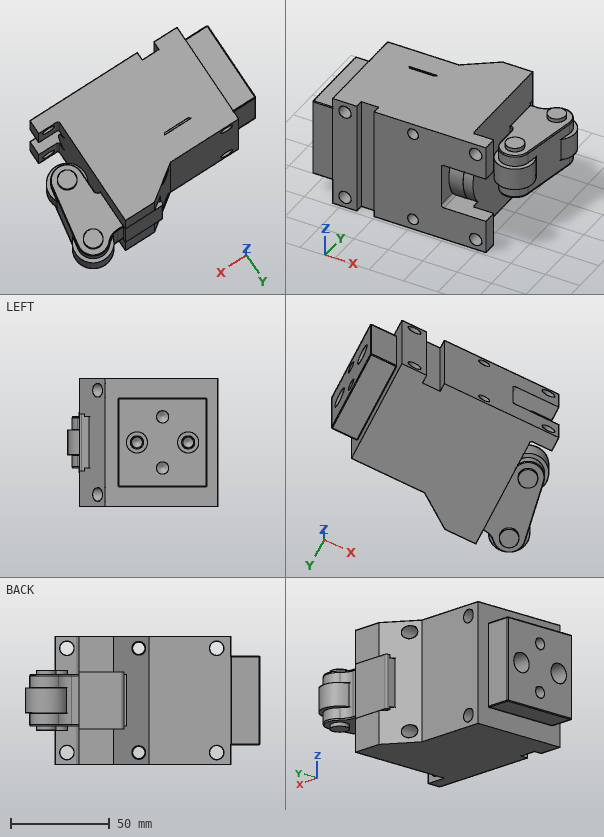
import cadquery as cq
import math


block_length = 14.9
block_width = 45.0
block_bottom = 5.5
block_chamfer = 0.5
port_axis_y = block_bottom + block_width / 2
port_spacing = 25.9
port_radius = 5.4
pilot_radius = 3.1
pilot_depth = 9.5
drill_half_angle = 59

bore_mouth_radius = 3.3
bore_radius = 2.7
bore_countersink = 0.6
bore_depth = 10.7

housing_start = block_length
housing_width = 65.0
housing_low_height = 57.1
housing_height = 70.1
housing_wall = 91.8
slope_start = housing_start + 41.4
slope_end = housing_start + 59.4
base_end = 103.9
base_thickness = 8.1
base_fillet = 1.1
groove_start = housing_start + 14.0
groove_width = 10.0
groove_depth = 4.6

mount_radius = 3.6
mount_offset_z = 26.4
front_mount_x = 22.0
middle_mount_x = 61.5
rear_mount_x = 97.9
middle_mount_radius = 3.1
middle_counterbore_radius = 3.5
middle_counterbore_bottom = 14.3

notch_start = 77.9
notch_half_width = 13.1
notch_fillet = 1.5
notch_floor_radius = 20.0
notch_step_x = 86.1
notch_step_height = 0.1

slit_start = 34.9
slit_y = 43.5
slit_length = 16.2
slit_width = 1.0
slit_depth = 0.2

lever_half_width = 13.1
lever_end_radius = 8.5
lever_chamfer_width = 0.4
lever_chamfer_depth = 0.8
lever_top = 68.2
lever_bottom = 46.6
top_blend_radius = 8.9
tongue_start = 68.9
slot_start = 67.7
cap_half_width = 14.5
cap_bottom = 67.5
cap_fillet = 1.1

roller_radius = 10.6
roller_half_width = 6.3
roller_clearance = 0.2
pin_radius = 5.0
pin_half_length = 15.2
upper_roller = (108.4, 65.4)
lower_roller = (102.5, 32.5)


def box(x_range, y_range, half_width):
    """Box between two X and two Y values, centred on Z = 0."""
    (x0, x1), (y0, y1) = x_range, y_range
    outline = cq.Workplane("XY").moveTo(x0, y0).lineTo(x1, y0).lineTo(x1, y1).lineTo(x0, y1).close()
    return outline.extrude(half_width, both=True)


def cross_cylinder(center, radius, half_length):
    """Cylinder along Z, centred on Z = 0."""
    start = (center[0], center[1], -half_length)
    return cq.Workplane("XY", origin=start).circle(radius).extrude(2 * half_length)


def drilled_hole(x, y, z, radius, depth):
    """Blind hole along +X with a conical drill tip, as a solid to cut away."""
    tip = depth + radius / math.tan(math.radians(drill_half_angle))
    profile = cq.Workplane("XY").polyline([(0, 0), (0, radius), (depth, radius), (tip, 0)]).close()
    return profile.revolve(360, (0, 0, 0), (1, 0, 0)).translate((x, y, z))


def port_positions():
    """Heights of the two ports."""
    return [port_axis_y + side * port_spacing / 2 for side in (-1, 1)]


def make_block():
    block = box((0, block_length), (block_bottom, block_bottom + block_width), block_width / 2)
    block = block.edges().chamfer(block_chamfer)
    for y in port_positions():
        block = block.cut(cq.Workplane("YZ").center(y, 0).circle(port_radius).extrude(block_length))
    for side in (-1, 1):
        z = side * port_spacing / 2
        block = block.cut(drilled_hole(0, port_axis_y, z, pilot_radius, pilot_depth))
    return block


def housing_body():
    outline = [
        (housing_start, 0),
        (base_end, 0),
        (base_end, base_thickness),
        (housing_wall, base_thickness),
        (housing_wall, housing_height),
        (slope_end, housing_height),
        (slope_start, housing_low_height),
        (housing_start, housing_low_height),
    ]
    body = cq.Workplane("XY").polyline(outline).close().extrude(housing_width / 2, both=True)
    inner_corner = cq.selectors.NearestToPointSelector((housing_wall, base_thickness, 0))
    body = body.edges(inner_corner).fillet(base_fillet)
    return body.cut(box((groove_start, groove_start + groove_width), (0, groove_depth), housing_width / 2))


def notch_dome(start, end, radius):
    """Cylinder along X whose underside is left standing as the notch floor."""
    return cq.Workplane("YZ", origin=(start, port_axis_y, 0)).circle(radius).extrude(end - start)


def base_notch():
    notch = box((notch_start, base_end), (0, port_axis_y), notch_half_width)
    notch = notch.edges("|Y and <X").fillet(notch_fillet)
    notch = notch.cut(notch_dome(notch_start, notch_step_x, notch_floor_radius))
    return notch.cut(notch_dome(notch_step_x, housing_wall, notch_floor_radius - notch_step_height))


def mount_hole(x, z, radius, bottom=0):
    """Hole along Y from the given height up through the top of the housing."""
    return cq.Workplane("XZ", origin=(x, bottom, z)).circle(radius).extrude(-housing_height)


def bore(y):
    """Countersunk blind bore in the housing, in line with a port."""
    profile = [(0, 0), (0, bore_mouth_radius), (bore_countersink, bore_radius), (bore_countersink, 0)]
    mouth = cq.Workplane("XY").polyline(profile).close().revolve(360, (0, 0, 0), (1, 0, 0))
    mouth = mouth.translate((housing_start, y, 0))
    return mouth.union(drilled_hole(housing_start, y, 0, bore_radius, bore_depth))


def marking_slit():
    slit = [
        (slit_start, slit_y),
        (slit_start + slit_length, slit_y),
        (slit_start + slit_length - slit_width, slit_y - slit_width),
        (slit_start + slit_width, slit_y - slit_width),
    ]
    floor = cq.Workplane("XY", origin=(0, 0, housing_width / 2 - slit_depth))
    return floor.polyline(slit).close().extrude(slit_depth)


def lever_slot():
    """Slot for the lever, stepped to match its cap, with a gap ahead of the tongue."""
    slot = box((slot_start, housing_wall), (lever_bottom, housing_height), lever_half_width)
    return slot.union(box((slot_start, housing_wall), (cap_bottom, housing_height), cap_half_width))


def make_housing():
    housing = housing_body().cut(base_notch()).cut(lever_slot()).cut(marking_slit())
    for z in (-mount_offset_z, mount_offset_z):
        for x in (front_mount_x, rear_mount_x):
            housing = housing.cut(mount_hole(x, z, mount_radius))
        housing = housing.cut(mount_hole(middle_mount_x, z, middle_mount_radius))
        counterbore = mount_hole(middle_mount_x, z, middle_counterbore_radius, middle_counterbore_bottom)
        housing = housing.cut(counterbore)
    for y in port_positions():
        housing = housing.cut(bore(y))
    return housing


def on_circle(center, radius, angle):
    return (center[0] + radius * math.cos(angle), center[1] + radius * math.sin(angle))


def arm_outline():
    """Outline around both rollers: two round ends, a straight outer side and blends into the tongue."""
    upper_x, upper_y = upper_roller
    lower_x, lower_y = lower_roller
    inner_x = lower_x - lever_end_radius
    outer_angle = math.atan2(upper_y - lower_y, upper_x - lower_x) - math.pi / 2

    blend_y = lever_top + top_blend_radius
    center_distance = top_blend_radius + lever_end_radius
    blend_x = upper_x - math.sqrt(center_distance**2 - (blend_y - upper_y) ** 2)
    lowest_angle = -math.pi / 2
    touch_angle = math.atan2(blend_y - upper_y, blend_x - upper_x)
    blend_middle_angle = (touch_angle - math.pi + lowest_angle) / 2
    upper_middle_angle = (outer_angle + touch_angle) / 2
    lower_middle_angle = (outer_angle - math.pi) / 2

    arm_root = housing_wall - lever_chamfer_width

    bottom_blend_radius = inner_x - housing_wall
    corner_center = (housing_wall, lever_bottom - bottom_blend_radius)
    return (
        cq.Workplane("XY")
        .moveTo(arm_root, lever_top)
        .lineTo(blend_x, lever_top)
        .threePointArc(
            on_circle((blend_x, blend_y), top_blend_radius, blend_middle_angle),
            on_circle(upper_roller, lever_end_radius, touch_angle),
        )
        .threePointArc(
            on_circle(upper_roller, lever_end_radius, upper_middle_angle),
            on_circle(upper_roller, lever_end_radius, outer_angle),
        )
        .lineTo(*on_circle(lower_roller, lever_end_radius, outer_angle))
        .threePointArc(
            on_circle(lower_roller, lever_end_radius, lower_middle_angle),
            (inner_x, lower_y),
        )
        .lineTo(inner_x, corner_center[1])
        .threePointArc(
            on_circle(corner_center, bottom_blend_radius, math.pi / 4),
            (housing_wall, lever_bottom),
        )
        .lineTo(arm_root, lever_bottom)
        .close()
    )


def lever_arm():
    """Arm with steep chamfers all round: wide along Z, narrow across the flat faces."""
    core_half_width = lever_half_width - lever_chamfer_depth
    taper = math.degrees(math.atan2(lever_chamfer_width, lever_chamfer_depth))
    chamfered_side = arm_outline().extrude(lever_chamfer_depth, taper=taper)
    chamfered_side = chamfered_side.translate((0, 0, core_half_width))
    arm = arm_outline().extrude(core_half_width, both=True)
    return arm.union(chamfered_side).union(chamfered_side.mirror("XY"))


def make_lever():
    """Lever with its tongue, rollers and pins; each roller stands in a slightly wider pocket."""
    tongue = box((tongue_start, housing_wall), (lever_bottom, housing_height), lever_half_width)
    cap = box((tongue_start, housing_wall), (cap_bottom, housing_height), cap_half_width)
    lever = tongue.union(cap).edges("<X and >Y").fillet(cap_fillet).union(lever_arm())
    pocket_radius = roller_radius + roller_clearance
    pocket_half_width = roller_half_width + roller_clearance
    for center in (upper_roller, lower_roller):
        lever = lever.cut(cross_cylinder(center, pocket_radius, pocket_half_width))
    for center in (upper_roller, lower_roller):
        lever = lever.union(cross_cylinder(center, roller_radius, roller_half_width))
        lever = lever.union(cross_cylinder(center, pin_radius, pin_half_length))
    return lever


block = make_block()
housing = make_housing()
lever = make_lever()

result = cq.Compound.makeCompound([body.solids().val() for body in (block, housing, lever)])